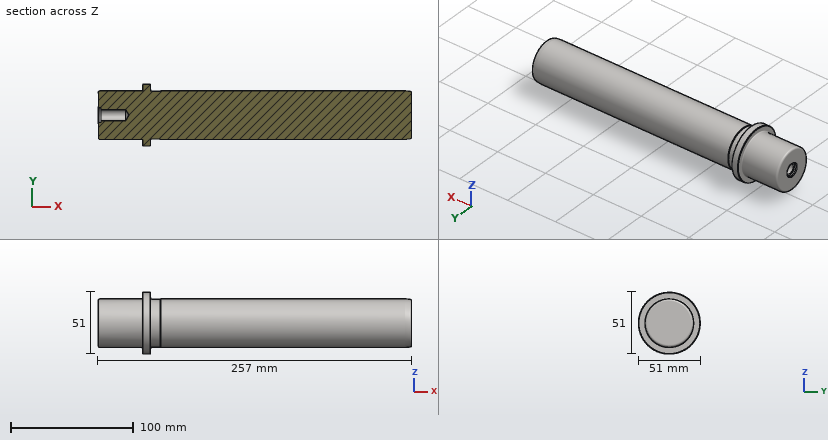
import cadquery as cq
import math

LENGTH = 257.0
SHANK_RADIUS = 20.0
FRONT_FILLET = 1.8
REAR_CHAMFER_LENGTH = 5.1
REAR_CHAMFER_DEPTH = 0.5
REAR_FILLET = 1.8

FLANGE_RADIUS = 25.5
FLANGE_START = 36.5
FLANGE_WIDTH = 6.7
FLANGE_EDGE_CHAMFER = 0.5
FRONT_ROOT_FILLET = 0.8
REAR_ROOT_FILLET = 1.0

RELIEF_END = 51.5
RELIEF_DEPTH = 0.3
RELIEF_TAPER = 0.8

BORE_RADIUS = 4.4
BORE_DEPTH = 22.5
COUNTERBORE_RADIUS = 6.0
COUNTERBORE_DEPTH = 2.3
COUNTERBORE_CHAMFER = 0.8
DRILL_POINT_ANGLE = 118.0

FRONT = -LENGTH / 2
REAR = LENGTH / 2
FLANGE_FRONT = FRONT + FLANGE_START
FLANGE_REAR = FLANGE_FRONT + FLANGE_WIDTH
RELIEF_RADIUS = SHANK_RADIUS - RELIEF_DEPTH


def make_body():
    """Revolve the shank, with its relief, about the X axis."""
    relief_end = FRONT + RELIEF_END
    rear_radius = SHANK_RADIUS - REAR_CHAMFER_DEPTH
    shank = (
        cq.Workplane("XY")
        .moveTo(FRONT, 0)
        .lineTo(FRONT, SHANK_RADIUS)
        .lineTo(FLANGE_REAR, SHANK_RADIUS)
        .lineTo(FLANGE_REAR, RELIEF_RADIUS)
        .lineTo(relief_end - RELIEF_TAPER, RELIEF_RADIUS)
        .lineTo(relief_end, SHANK_RADIUS)
        .lineTo(REAR - REAR_CHAMFER_LENGTH, SHANK_RADIUS)
        .lineTo(REAR, rear_radius)
        .lineTo(REAR, 0)
        .close()
        .revolve(360, (0, 0, 0), (1, 0, 0))
    )
    shank = shank.faces("<X").edges().fillet(FRONT_FILLET)
    return shank.faces(">X").edges().fillet(REAR_FILLET)


def make_flange():
    """Flange disc with chamfered rims."""
    disc = cq.Workplane("YZ", origin=(FLANGE_FRONT, 0, 0))
    disc = disc.circle(FLANGE_RADIUS).extrude(FLANGE_WIDTH)
    return disc.faces("<X or >X").edges().chamfer(FLANGE_EDGE_CHAMFER)


def fillet_flange_root(part, position, shank_radius, fillet_radius):
    """Round the corner where the shank meets a flange face at this position."""
    reach = shank_radius + fillet_radius / 2
    root = cq.selectors.BoxSelector(
        (position - fillet_radius / 2, -reach, -reach),
        (position + fillet_radius / 2, reach, reach),
        boundingbox=True,
    )
    return part.edges(root).edges("%CIRCLE").fillet(fillet_radius)


def make_bore():
    """Blind hole along X with a chamfered counterbore and a drill-point bottom."""
    point_length = BORE_RADIUS / math.tan(math.radians(DRILL_POINT_ANGLE / 2))
    return (
        cq.Workplane("XY")
        .moveTo(FRONT, 0)
        .lineTo(FRONT, COUNTERBORE_RADIUS + COUNTERBORE_CHAMFER)
        .lineTo(FRONT + COUNTERBORE_CHAMFER, COUNTERBORE_RADIUS)
        .lineTo(FRONT + COUNTERBORE_DEPTH, COUNTERBORE_RADIUS)
        .lineTo(FRONT + COUNTERBORE_DEPTH, BORE_RADIUS)
        .lineTo(FRONT + BORE_DEPTH, BORE_RADIUS)
        .lineTo(FRONT + BORE_DEPTH + point_length, 0)
        .close()
        .revolve(360, (0, 0, 0), (1, 0, 0))
    )


result = make_body().union(make_flange())
result = fillet_flange_root(result, FLANGE_FRONT, SHANK_RADIUS, FRONT_ROOT_FILLET)
result = fillet_flange_root(result, FLANGE_REAR, RELIEF_RADIUS, REAR_ROOT_FILLET)
result = result.cut(make_bore())